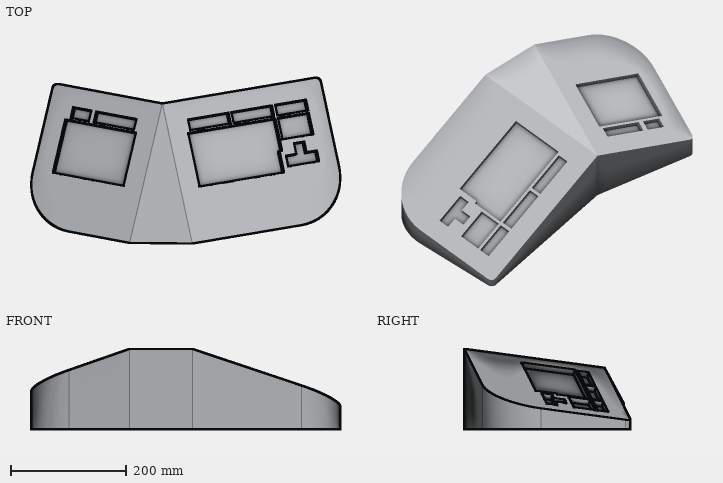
import cadquery as cq

rear_height = 107.5
front_height = 140.0
wedge_left = (-57.0, -243.0)
wedge_right = (52.0, -244.0)

left_corner = (-189.0, 35.5)
right_corner = (274.0, 46.0)
palm_radius = 90.0
rear_radius = 9.5

pocket_depth = 10.0
main_depth = 95.5
main_rows = 5
key = main_depth / main_rows
function_row = 35.5
main_row = 59.0
arrow_row = 107.5
main_column = 35.0
function_column = 40.0
function_width = 75.0
right_second_column = 120.5
right_main_width = 161.5
right_lower_width = 157.0
full_width_rows = 3
side_column = 201.5
side_keys = 3
navigation_rows = 2
left_main_width = 132.0
escape_column = 124.0
escape_width = 34.0

rear_tip = cq.Vector(0, 0, rear_height)
left_front = cq.Vector(*wedge_left, front_height)
right_front = cq.Vector(*wedge_right, front_height)
drop = cq.Vector(0, 0, -2 * front_height)


def across_vector(hinge, corner):
    """Vector to the outer rear corner, dropped until square to the hinge."""
    x, y = corner
    return cq.Vector(x, y, -(x * hinge.x + y * hinge.y) / hinge.z)


def round_corner(wire, corner, radius):
    """Round the outline vertex that lies at the given corner."""
    vertex = min(wire.Vertices(), key=lambda v: (v.Center() - corner).Length)
    return cq.Face.makeFromWires(wire).fillet2D(radius, [vertex]).outerWire()


def prism_down(wire):
    """Solid with vertical walls reaching from a tilted outline past the base."""
    return cq.Workplane(obj=cq.Solid.extrudeLinear(wire, [], drop))


def wing(hinge, corner, pockets):
    """Rectangular tilted wing with rounded outer corners and key pockets.

    Each pocket is an outline of (distance from hinge, distance from rear edge).
    """
    across = across_vector(hinge, corner)
    outer_rear = rear_tip + across
    outer_front = outer_rear + hinge
    corners = [rear_tip, outer_rear, outer_front, rear_tip + hinge]
    outline = cq.Wire.makePolygon(corners, close=True)
    outline = round_corner(outline, outer_rear, rear_radius)
    outline = round_corner(outline, outer_front, palm_radius)
    body = prism_down(outline)

    outward = across.normalized()
    forward = hinge.normalized()
    inward = outward.cross(forward).normalized() * pocket_depth
    if inward.z > 0:
        inward = inward * -1
    for pocket in pockets:
        points = [rear_tip + outward * x + forward * y for x, y in pocket]
        rim = cq.Wire.makePolygon(points, close=True)
        body = body.cut(cq.Workplane(obj=cq.Solid.extrudeLinear(rim, [], inward)))
    return body


def rectangle(column, row, width, depth):
    """Rectangular pocket outline."""
    right = column + width
    bottom = row + depth
    return [(column, row), (right, row), (right, bottom), (column, bottom)]


def right_main_outline():
    """Main key field whose outer edge steps in beside the arrow keys."""
    wide = main_column + right_main_width
    narrow = main_column + right_lower_width
    step = main_row + full_width_rows * key
    bottom = main_row + main_depth
    return [
        (main_column, main_row),
        (wide, main_row),
        (wide, step),
        (narrow, step),
        (narrow, bottom),
        (main_column, bottom),
    ]


def arrow_outline():
    """Inverted T: one key above a row of three."""
    columns = [side_column + i * key for i in range(side_keys + 1)]
    rows = [arrow_row + i * key for i in range(3)]
    return [
        (columns[0], rows[2]),
        (columns[0], rows[1]),
        (columns[1], rows[1]),
        (columns[1], rows[0]),
        (columns[2], rows[0]),
        (columns[2], rows[1]),
        (columns[3], rows[1]),
        (columns[3], rows[2]),
    ]


left_pockets = [
    rectangle(main_column, main_row, left_main_width, main_depth),
    rectangle(function_column, function_row, function_width, key),
    rectangle(escape_column, function_row, escape_width, key),
]
right_pockets = [
    right_main_outline(),
    rectangle(function_column, function_row, function_width, key),
    rectangle(right_second_column, function_row, function_width, key),
    rectangle(side_column, function_row, side_keys * key, key),
    rectangle(side_column, main_row, side_keys * key, navigation_rows * key),
    arrow_outline(),
]

wedge = prism_down(cq.Wire.makePolygon([rear_tip, left_front, right_front], close=True))
left_wing = wing(left_front - rear_tip, left_corner, left_pockets)
right_wing = wing(right_front - rear_tip, right_corner, right_pockets)
trim_size = 1611.0
below_base = cq.Workplane().box(trim_size, trim_size, trim_size, centered=(True, True, False))
below_base = below_base.translate((0, 0, -trim_size))
result = wedge.union(left_wing).union(right_wing).cut(below_base)